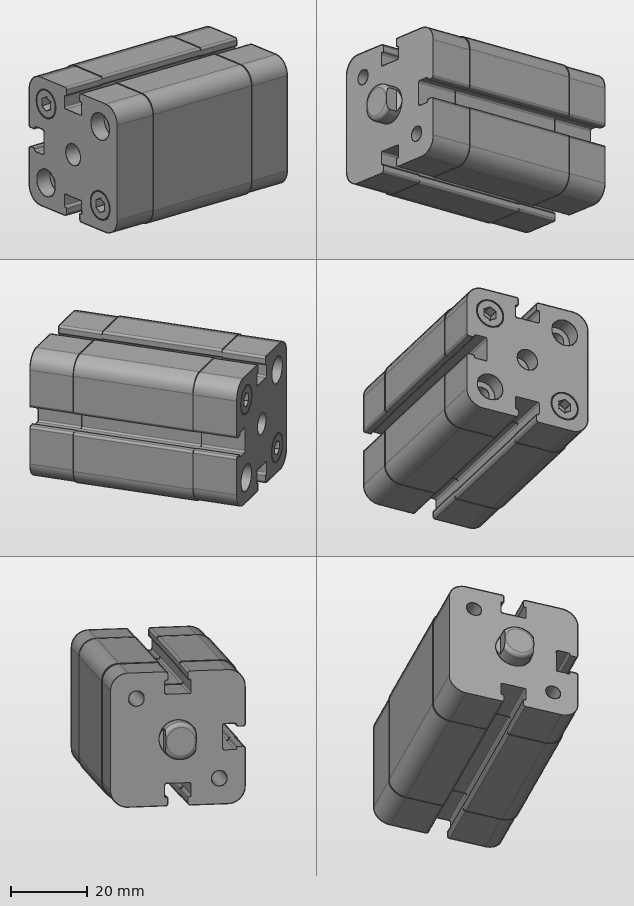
import cadquery as cq

TOTAL_LENGTH = 62.5
FRONT_CAP_LENGTH = 12.2
BARREL_LENGTH = 33.6
ROD_PROJECTION = 4.45
BODY_LENGTH = TOTAL_LENGTH - ROD_PROJECTION
REAR_CAP_START = FRONT_CAP_LENGTH + BARREL_LENGTH
REAR_CAP_LENGTH = BODY_LENGTH - REAR_CAP_START

BARREL_WIDTH = 36.1
CAP_INSET = 0.2
CAP_WIDTH = BARREL_WIDTH - 2 * CAP_INSET
CORNER_RADIUS = 4.6

SLOT_NECK_WIDTH = 5.4
SLOT_INNER_WIDTH = 7.0
SLOT_DEPTH = 6.0
SLOT_LIP_THICKNESS = 2.25
SLOT_INNER_RADIUS = 0.5
SLOT_LIP_RADIUS = 0.25
SLOT_MOUTH_RADIUS = 0.6
SLOT_SIDE_ANGLES = (0, 90, 180)

CORNER_OFFSET = 11.0
THROUGH_HOLE_DIAMETER = 4.1
COUNTERBORE_DIAMETER = 7.5
COUNTERBORE_DEPTH = 4.5
CENTRE_HOLE_DIAMETER = 6.0
CENTRE_HOLE_DEPTH = 5.0

SCREW_HEAD_DIAMETER = 7.5
SCREW_BORE_DIAMETER = 8.0
SCREW_BORE_DEPTH = 4.0
SOCKET_ACROSS_CORNERS = 4.0
SOCKET_DEPTH = 3.0

ROD_DIAMETER = 10.0
ROD_ACROSS_FLATS = 8.0
ROD_FLAT_LENGTH = 3.45
ROD_TIP_RADIUS = 1.2

THROUGH_HOLE_CENTRES = [(CORNER_OFFSET, CORNER_OFFSET), (-CORNER_OFFSET, -CORNER_OFFSET)]
SCREW_CENTRES = [(-CORNER_OFFSET, CORNER_OFFSET), (CORNER_OFFSET, -CORNER_OFFSET)]


def plane_at(y):
    """XZ workplane at depth y whose normal points along +Y (local y is -Z)."""
    return cq.Workplane(cq.Plane(origin=(0, y, 0), xDir=(1, 0, 0), normal=(0, 1, 0)))


def at_points(y, points):
    """Workplane at depth y with the given (x, z) points selected."""
    return plane_at(y).pushPoints([(x, -z) for x, z in points])


def t_slot(start, length, width, angle):
    """Cutter for a T-slot with rounded edges, turned to one side about the Y axis."""
    face = width / 2
    floor = face - SLOT_DEPTH
    lip = face - SLOT_LIP_THICKNESS
    half_neck = SLOT_NECK_WIDTH / 2
    half_inner = SLOT_INNER_WIDTH / 2
    cutter = (
        plane_at(start)
        .moveTo(0, -floor)
        .lineTo(half_inner - SLOT_INNER_RADIUS, -floor)
        .radiusArc((half_inner, -floor - SLOT_INNER_RADIUS), SLOT_INNER_RADIUS)
        .lineTo(half_inner, -lip + SLOT_INNER_RADIUS)
        .radiusArc((half_inner - SLOT_INNER_RADIUS, -lip), SLOT_INNER_RADIUS)
        .lineTo(half_neck + SLOT_LIP_RADIUS, -lip)
        .radiusArc((half_neck, -lip - SLOT_LIP_RADIUS), -SLOT_LIP_RADIUS)
        .lineTo(half_neck, -face + SLOT_MOUTH_RADIUS)
        .radiusArc((half_neck + SLOT_MOUTH_RADIUS, -face), -SLOT_MOUTH_RADIUS)
        .lineTo(0, -face)
        .mirrorY()
        .extrude(length)
    )
    return cutter.rotate((0, 0, 0), (0, 1, 0), angle)


def slotted_block(start, length, width):
    """Square block with rounded corners and a T-slot in three of its sides."""
    block = (
        plane_at(start)
        .rect(width, width)
        .extrude(length)
        .edges("|Y")
        .fillet(CORNER_RADIUS)
    )
    for angle in SLOT_SIDE_ANGLES:
        block = block.cut(t_slot(start, length, width, -angle))
    return block


def rod_end():
    """Rod nose with a rounded tip and two flats that run out at 45 degrees."""
    rod = (
        plane_at(BODY_LENGTH)
        .circle(ROD_DIAMETER / 2)
        .extrude(ROD_PROJECTION)
        .faces(">Y")
        .edges()
        .fillet(ROD_TIP_RADIUS)
    )
    half_flats = ROD_ACROSS_FLATS / 2
    flats_start = TOTAL_LENGTH - ROD_FLAT_LENGTH
    run_out = flats_start - BODY_LENGTH
    envelope = (
        cq.Workplane("XY")
        .moveTo(-half_flats - run_out, BODY_LENGTH)
        .lineTo(half_flats + run_out, BODY_LENGTH)
        .lineTo(half_flats, flats_start)
        .lineTo(half_flats, TOTAL_LENGTH)
        .lineTo(-half_flats, TOTAL_LENGTH)
        .lineTo(-half_flats, flats_start)
        .close()
        .extrude(ROD_DIAMETER / 2, both=True)
    )
    return rod.intersect(envelope)


def front_bores():
    """Cutter for the centre hole and the two counterbored through holes."""
    centre = plane_at(0).circle(CENTRE_HOLE_DIAMETER / 2).extrude(CENTRE_HOLE_DEPTH)
    hole_points = at_points(0, THROUGH_HOLE_CENTRES)
    through = hole_points.circle(THROUGH_HOLE_DIAMETER / 2).extrude(BODY_LENGTH)
    counterbores = hole_points.circle(COUNTERBORE_DIAMETER / 2).extrude(COUNTERBORE_DEPTH)
    return centre.union(through).union(counterbores)


def screw_recesses():
    """Cutter for the clearance ring around each screw head and for its hexagon socket."""
    rings = (
        at_points(0, SCREW_CENTRES)
        .circle(SCREW_BORE_DIAMETER / 2)
        .circle(SCREW_HEAD_DIAMETER / 2)
        .extrude(SCREW_BORE_DEPTH)
    )
    socket = (
        plane_at(0)
        .polygon(6, SOCKET_ACROSS_CORNERS)
        .extrude(SOCKET_DEPTH)
        .rotate((0, 0, 0), (0, 1, 0), 90)
    )
    for x, z in SCREW_CENTRES:
        rings = rings.union(socket.translate((x, 0, z)))
    return rings


front_cap = slotted_block(0, FRONT_CAP_LENGTH, CAP_WIDTH)
barrel = slotted_block(FRONT_CAP_LENGTH, BARREL_LENGTH, BARREL_WIDTH)
rear_cap = slotted_block(REAR_CAP_START, REAR_CAP_LENGTH, CAP_WIDTH)

result = (
    front_cap.union(barrel)
    .union(rear_cap)
    .union(rod_end())
    .cut(front_bores())
    .cut(screw_recesses())
)